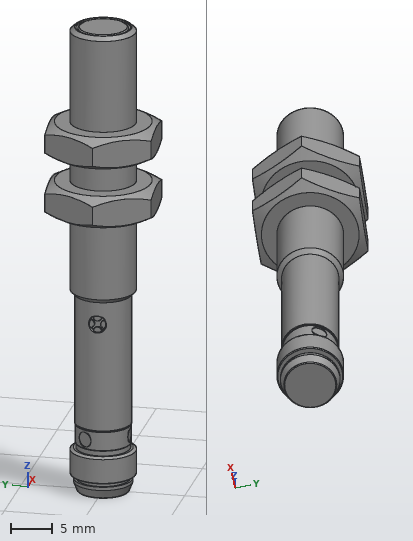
import cadquery as cq
import math

length = 59.0

barrel_diameter = 8.0
barrel_bottom = 25.6
barrel_edge_height = 0.5
barrel_front_diameter = 6.9
sleeve_diameter = 6.9
shoulder_drop = (barrel_diameter - sleeve_diameter) / 2

face_diameter = 5.8
face_base_diameter = 6.1
face_ring_diameter = 6.6
face_ring_depth = 0.2

light_ring_bottom = 6.1
light_ring_top = 8.5
light_ring_diameter = 6.8
light_ring_chamfer = 0.1
ring_groove_width = 0.2
window_diameter = 1.9
window_count = 3
window_height = (light_ring_bottom + light_ring_top) / 2
window_depth = 0.2
first_window_angle = 30.0

neck_diameter = 6.6
collar_bottom = 2.1
collar_top = 5.5
collar_diameter = barrel_diameter
collar_chamfer = 0.1
collar_taper_height = 0.25
collar_rim_diameter = 7.2
lip_neck_diameter = 6.6
lip_bottom = 1.2
lip_top = 1.6
lip_diameter = 7.2
tip_diameter = 6.4
tip_chamfer = 0.1

screw_height = 22.25
screw_bore_diameter = 2.2
screw_diameter = 2.0
screw_sink = 0.2
screw_gap_depth = 0.5
cross_recess_depth = 0.3
cross_lobe_diameter = 1.0
cross_lobe_offset = 0.9
cross_lobe_count = 4

nut_sides = 6
nut_across_flats = 13.0
nut_thickness = 4.0
nut_face_diameter = 11.75
nut_chamfer_angle = 28.0
nut_turn = 2.3
nut_bottoms = (35.45, 42.95)


def make_body():
    """Revolve the stepped profile from the connector tip to the front end."""
    profile = [
        (0, 0),
        (tip_diameter / 2 - tip_chamfer, 0),
        (tip_diameter / 2, tip_chamfer),
        (lip_diameter / 2, lip_bottom),
        (lip_diameter / 2, lip_top),
        (lip_neck_diameter / 2, lip_top),
        (lip_neck_diameter / 2, collar_bottom),
        (collar_diameter / 2 - collar_chamfer, collar_bottom),
        (collar_diameter / 2, collar_bottom + collar_chamfer),
        (collar_diameter / 2, collar_top - collar_taper_height),
        (collar_rim_diameter / 2, collar_top),
        (neck_diameter / 2, collar_top),
        (neck_diameter / 2, light_ring_bottom),
        (light_ring_diameter / 2, light_ring_bottom + light_ring_chamfer),
        (light_ring_diameter / 2, light_ring_top),
        (neck_diameter / 2, light_ring_top),
        (neck_diameter / 2, light_ring_top + ring_groove_width),
        (sleeve_diameter / 2, light_ring_top + ring_groove_width),
        (sleeve_diameter / 2, barrel_bottom - shoulder_drop),
        (barrel_diameter / 2, barrel_bottom),
        (barrel_diameter / 2, length - barrel_edge_height),
        (barrel_front_diameter / 2, length),
        (face_ring_diameter / 2, length),
        (face_ring_diameter / 2, length - face_ring_depth),
        (face_base_diameter / 2, length - face_ring_depth),
        (face_diameter / 2, length),
        (0, length),
    ]
    return cq.Workplane("XZ").polyline(profile).close().revolve(360, (0, 0), (0, 1))


def make_nut(bottom):
    """Hexagon nut with both faces chamfered by a cone."""
    corner_diameter = nut_across_flats / math.cos(math.pi / nut_sides)
    hexagon = (
        cq.Workplane("XY", origin=(0, 0, bottom))
        .transformed(rotate=(0, 0, nut_turn))
        .polygon(nut_sides, corner_diameter)
        .extrude(nut_thickness)
    )
    corner_radius = corner_diameter / 2
    face_radius = nut_face_diameter / 2
    drop = (corner_radius - face_radius) * math.tan(math.radians(nut_chamfer_angle))
    envelope_profile = [
        (0, bottom),
        (face_radius, bottom),
        (corner_radius, bottom + drop),
        (corner_radius, bottom + nut_thickness - drop),
        (face_radius, bottom + nut_thickness),
        (0, bottom + nut_thickness),
    ]
    envelope = cq.Workplane("XZ").polyline(envelope_profile).close().revolve(360, (0, 0), (0, 1))
    return hexagon.intersect(envelope)


def make_window_cut(angle):
    """Round, flat-bottomed recess in the light ring, facing out at the given angle about Z."""
    floor_radius = light_ring_diameter / 2 - window_depth
    return (
        cq.Workplane("YZ", origin=(floor_radius, 0, window_height))
        .circle(window_diameter / 2)
        .extrude(window_diameter)
        .rotate((0, 0, 0), (0, 0, 1), angle)
    )


def make_screw_cut():
    """Sunk bore, gap around the screw, and a cross recess left between four round lobes."""
    screw_face = -sleeve_diameter / 2 + screw_sink
    face_plane = cq.Workplane("YZ", origin=(screw_face, 0, screw_height))
    bore = face_plane.circle(screw_bore_diameter / 2).extrude(-screw_bore_diameter)
    gap = (
        face_plane.circle(screw_bore_diameter / 2)
        .circle(screw_diameter / 2)
        .extrude(screw_gap_depth)
    )
    lobes = (
        face_plane.polarArray(cross_lobe_offset, 0, 360, cross_lobe_count)
        .circle(cross_lobe_diameter / 2)
        .extrude(cross_recess_depth)
    )
    cross = face_plane.circle(screw_diameter / 2).extrude(cross_recess_depth).cut(lobes)
    return bore.union(gap).union(cross)


result = make_body()
for nut_bottom in nut_bottoms:
    result = result.union(make_nut(nut_bottom))
for window in range(window_count):
    result = result.cut(make_window_cut(first_window_angle + window * 360 / window_count))
result = result.cut(make_screw_cut())